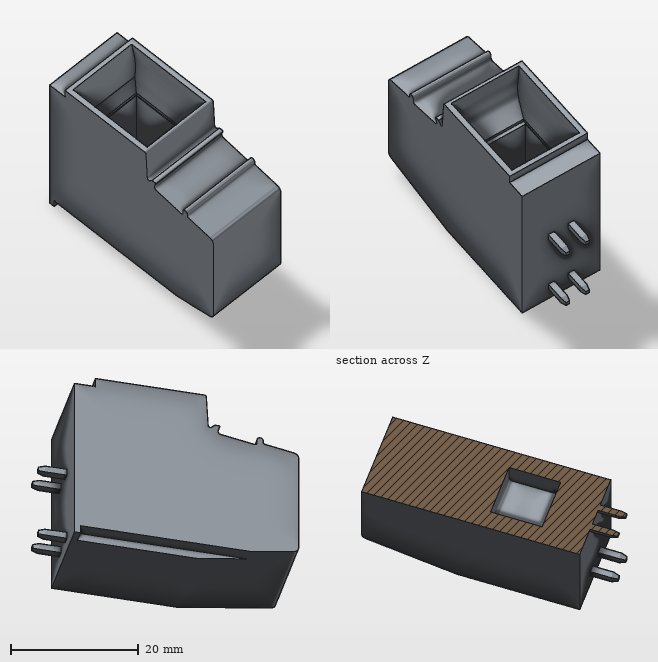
import cadquery as cq
import math

BODY_LENGTH = 36.3
BODY_WIDTH = 15.0
BODY_HEIGHT = 31.0
HALF_WIDTH = BODY_WIDTH / 2
SLOPE = math.tan(math.radians(10))
NOSE_RADIUS = 1.0

BACK_STEP_LENGTH = 3.4
BACK_STEP_DROP = 1.6
TOWER_END_X = 21.35
TOWER_CORNER_RADIUS = 0.35
TOWER_FOOT_X = 21.65
GROOVE_TOP_Z = 25.05
GROOVE_WIDTH = 0.6
GROOVE_DEPTH = 0.3
HOOK_TOP_Z = 25.35
HOOK_FLAT_START_X = 22.7
HOOK_FLAT_END_X = 23.3
HOOK_TIP_X = 23.4
HOOK_TIP_DROP = 0.4
HOOK_NECK_X = 23.25
HOOK_NECK_Z = 24.4
SHELF_START_X = 23.6
SHELF_START_Z = 23.7
RIB_START_X = 29.55
RIB_WIDTH = 1.0
RIB_TOP_Z = 24.2
RIB_ROOT_LENGTH = 0.5
RIB_OUTER_ROOT_LENGTH = 0.2
OUTER_SHELF_Z = 23.1
UNDERSIDE_SLOPE_START_X = 20.4

THROAT_Z = 23.3
THROAT_START_X = 7.25
THROAT_END_X = 16.5
THROAT_HALF_WIDTH = 4.5
RIM_START_X = 4.2
RIM_END_X = 20.65
RIM_HALF_WIDTH = 6.5
BACK_BEND_X = 5.85
BACK_BEND_Z = 25.2
FRONT_BEND_X = 18.8
FRONT_BEND_Z = 24.7
FRONT_CURVE_TOP_Z = 27.9
SIDE_BEND_Y = 5.13
SIDE_BEND_Z = 24.4
SIDE_CURVE_TOP_Z = 29.2

LEDGE_Z = 22.75
SHAFT_MARGIN = 0.1
SHAFT_END_X = 15.85
SHAFT_FLOOR_Z = 12.0
SHAFT_FLOOR_RADIUS = 0.7

RECESS_START_X = 1.0
RECESS_HEIGHT = 1.4
RECESS_DEPTH = 2.0

PIN_LENGTH = 4.5
PIN_SIZE = 1.15
PIN_TIP_SIZE = 0.7
PIN_TIP_LENGTH = 1.0
PIN_PITCH_Y = 3.8
PIN_LOW_Z = 3.05
PIN_PITCH_Z = 12.5


def make_housing():
    rib_end_x = RIB_START_X + RIB_WIDTH
    rib_round_z = RIB_TOP_Z - RIB_WIDTH / 2
    rib_root_x = RIB_START_X - RIB_ROOT_LENGTH
    rib_root_z = SHELF_START_Z - (rib_root_x - SHELF_START_X) * SLOPE
    nose_top_z = OUTER_SHELF_Z - (BODY_LENGTH - rib_end_x) * SLOPE
    nose_bottom_z = (BODY_LENGTH - UNDERSIDE_SLOPE_START_X) * SLOPE
    step_z = BODY_HEIGHT - BACK_STEP_DROP

    outline = (
        cq.Workplane("XZ")
        .moveTo(0, 0)
        .lineTo(0, step_z)
        .lineTo(BACK_STEP_LENGTH, step_z)
        .lineTo(BACK_STEP_LENGTH, BODY_HEIGHT)
        .lineTo(TOWER_END_X - TOWER_CORNER_RADIUS, BODY_HEIGHT)
        .tangentArcPoint((TOWER_END_X, BODY_HEIGHT - TOWER_CORNER_RADIUS), relative=False)
        .lineTo(TOWER_FOOT_X, GROOVE_TOP_Z)
        .threePointArc(
            (TOWER_FOOT_X + GROOVE_WIDTH / 2, GROOVE_TOP_Z - GROOVE_DEPTH),
            (TOWER_FOOT_X + GROOVE_WIDTH, GROOVE_TOP_Z - GROOVE_DEPTH / 2),
        )
        .lineTo(HOOK_FLAT_START_X, HOOK_TOP_Z)
        .lineTo(HOOK_FLAT_END_X, HOOK_TOP_Z)
        .tangentArcPoint((HOOK_TIP_X, HOOK_TOP_Z - HOOK_TIP_DROP), relative=False)
        .lineTo(HOOK_NECK_X, HOOK_NECK_Z)
        .tangentArcPoint((SHELF_START_X, SHELF_START_Z), relative=False)
        .lineTo(rib_root_x, rib_root_z)
        .tangentArcPoint((RIB_START_X, rib_root_z + RIB_ROOT_LENGTH * (1 - SLOPE)), relative=False)
        .lineTo(RIB_START_X, rib_round_z)
        .threePointArc((RIB_START_X + RIB_WIDTH / 2, RIB_TOP_Z), (rib_end_x, rib_round_z))
        .lineTo(rib_end_x, OUTER_SHELF_Z + RIB_OUTER_ROOT_LENGTH)
        .tangentArcPoint(
            (rib_end_x + RIB_OUTER_ROOT_LENGTH, OUTER_SHELF_Z - RIB_OUTER_ROOT_LENGTH * SLOPE),
            relative=False,
        )
        .lineTo(BODY_LENGTH, nose_top_z)
        .lineTo(BODY_LENGTH, nose_bottom_z)
        .lineTo(UNDERSIDE_SLOPE_START_X, 0)
        .close()
    )
    housing = outline.extrude(HALF_WIDTH, both=True)
    return housing.edges("|Y and >X").fillet(NOSE_RADIUS)


def make_funnel():
    """The two wall profiles, each extruded across the other, meet in the funnel."""
    lengthwise = (
        cq.Workplane("XZ")
        .moveTo(RIM_END_X, BODY_HEIGHT)
        .lineTo(RIM_END_X, FRONT_CURVE_TOP_Z)
        .tangentArcPoint((FRONT_BEND_X, FRONT_BEND_Z), relative=False)
        .lineTo(THROAT_END_X, THROAT_Z)
        .lineTo(THROAT_START_X, THROAT_Z)
        .lineTo(BACK_BEND_X, BACK_BEND_Z)
        .lineTo(RIM_START_X, BODY_HEIGHT)
        .close()
        .extrude(RIM_HALF_WIDTH, both=True)
    )
    half_across = (
        cq.Workplane("YZ")
        .moveTo(RIM_HALF_WIDTH, BODY_HEIGHT)
        .lineTo(RIM_HALF_WIDTH, SIDE_CURVE_TOP_Z)
        .tangentArcPoint((SIDE_BEND_Y, SIDE_BEND_Z), relative=False)
        .lineTo(THROAT_HALF_WIDTH, THROAT_Z)
        .lineTo(0, THROAT_Z)
        .lineTo(0, BODY_HEIGHT)
        .close()
        .extrude(BODY_LENGTH)
    )
    across = half_across.union(half_across.mirror("XZ"))
    return lengthwise.intersect(across)


def block(x_start, x_end, y_start, y_end, z_start, z_end):
    size = (x_end - x_start, y_end - y_start, z_end - z_start)
    return cq.Workplane("XY").box(*size, centered=False).translate((x_start, y_start, z_start))


def make_shaft():
    throat = block(
        THROAT_START_X, THROAT_END_X, -THROAT_HALF_WIDTH, THROAT_HALF_WIDTH, LEDGE_Z, THROAT_Z
    )
    shaft_half_width = THROAT_HALF_WIDTH - SHAFT_MARGIN
    shaft = block(
        THROAT_START_X + SHAFT_MARGIN, SHAFT_END_X,
        -shaft_half_width, shaft_half_width,
        SHAFT_FLOOR_Z, LEDGE_Z,
    )
    shaft = shaft.edges(">X and <Z").fillet(SHAFT_FLOOR_RADIUS)
    return throat.union(shaft)


def make_recess():
    return block(
        RECESS_START_X, BODY_LENGTH, -HALF_WIDTH, -HALF_WIDTH + RECESS_DEPTH, 0, RECESS_HEIGHT
    )


def make_pin(y, z):
    """Square pin standing out of the left face, with a tapered tip."""
    shank_length = PIN_LENGTH - PIN_TIP_LENGTH
    shank = cq.Workplane("YZ").rect(PIN_SIZE, PIN_SIZE).extrude(-shank_length)
    tip = (
        cq.Workplane("YZ", origin=(-shank_length, 0, 0))
        .rect(PIN_SIZE, PIN_SIZE)
        .workplane(offset=-PIN_TIP_LENGTH)
        .rect(PIN_TIP_SIZE, PIN_TIP_SIZE)
        .loft(ruled=True)
    )
    return shank.union(tip).translate((0, y, z))


result = make_housing().cut(make_funnel()).cut(make_shaft()).cut(make_recess())
for pin_y in (-PIN_PITCH_Y / 2, PIN_PITCH_Y / 2):
    for pin_z in (PIN_LOW_Z, PIN_LOW_Z + PIN_PITCH_Z):
        result = result.union(make_pin(pin_y, pin_z))